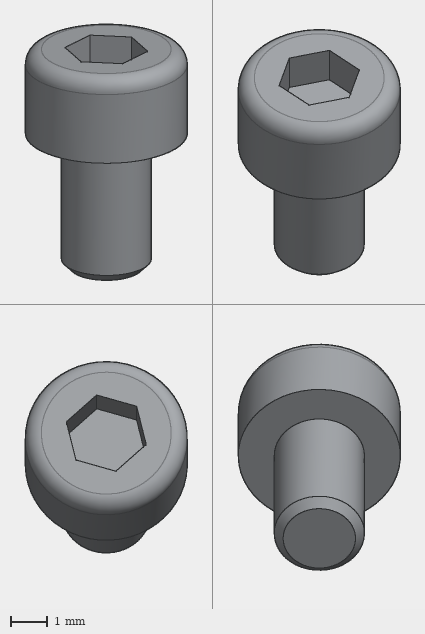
import cadquery as cq
import math

total_length = 6.5
head_diameter = 4.5
head_height = 2.5
shank_diameter = 2.5
head_edge_radius = 0.45
tip_chamfer = 0.25
socket_across_flats = 2.0
socket_depth = 1.105

shank_length = total_length - head_height
socket_across_corners = socket_across_flats / math.cos(math.radians(30))


def make_head():
    """Cylindrical head above Z = 0 with a rounded top edge."""
    head = cq.Workplane("XY").circle(head_diameter / 2).extrude(head_height)
    return head.faces(">Z").edges().fillet(head_edge_radius)


def make_shank():
    """Plain shank hanging below the head with a chamfered tip."""
    shank = cq.Workplane("XY").circle(shank_diameter / 2).extrude(-shank_length)
    return shank.faces("<Z").edges().chamfer(tip_chamfer)


def make_socket():
    """Hexagonal drive recess with two corners on the X axis."""
    top = cq.Workplane("XY").workplane(offset=head_height)
    return top.polygon(6, socket_across_corners).extrude(-socket_depth)


result = make_head().union(make_shank()).cut(make_socket())